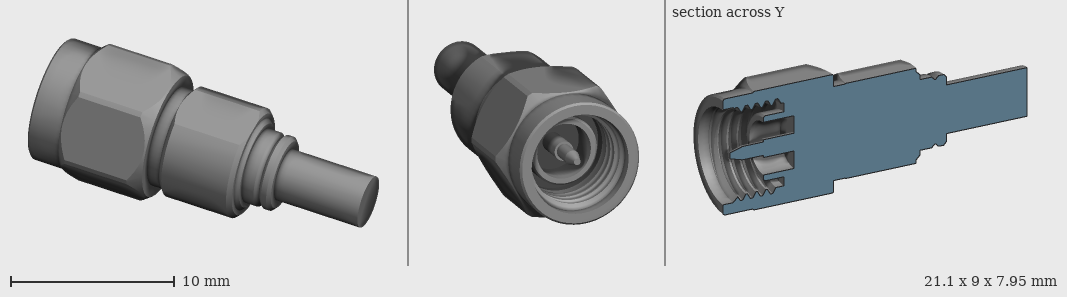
import cadquery as cq
import math

nut_sleeve_end = 2.07
hex_front_corner = 2.76
hex_rear_corner = 6.91
nut_end = 7.7
neck_end = 8.47
body_chamfer_end = 8.81
body_rear_chamfer_start = 13.13
body_rear_chamfer_end = 13.4
collar_start = 13.65
groove_start = 14.46
groove_bottom = 14.71
groove_end = 14.95
rim_chamfer_start = 15.3
collar_end = 15.51
total_length = 21.08

nut_sleeve_radius = 3.9
nut_sleeve_chamfer = 0.13
hex_across_flats = 7.95
hex_corner_radius = 4.5
neck_radius = 3.16
body_radius = 3.55
body_across_flats = 6.39
body_rear_radius = 3.27
shoulder_radius = 2.95
shoulder_end_radius = 2.7
collar_radius = 2.38
groove_radius = 2.15
cable_tube_radius = 1.65

thread_pitch = 0.7
thread_minor_radius = 2.76
thread_depth = 0.35
thread_crest = 0.13
thread_flank_angle = 30
thread_turns = 4.5
thread_start = 0.61
thread_groove_overlap = 0.05
bore_entry_radius = 3.16
bore_entry_depth = 0.72
bore_depth = 4.22

contact_face = 2.8
contact_radius = 2.2
contact_chamfer = 0.13
recess_radius = 1.75
recess_depth = 2.1
pin_tip = 0.48
pin_tip_radius = 0.21
pin_cone_end = 1.37
pin_radius = 0.46
pin_collar_radius = 0.61


def revolve_about_axis(stations):
    """Solid of revolution about X through the given (x, radius) points."""
    first_x = stations[0][0]
    last_x = stations[-1][0]
    outline = [(first_x, 0)] + stations + [(last_x, 0)]
    return cq.Workplane("XY").polyline(outline).close().revolve(360, (0, 0, 0), (1, 0, 0))


def make_nut():
    """Hexagonal coupling nut with bevelled corners and a round front sleeve."""
    sleeve = revolve_about_axis([
        (0, nut_sleeve_radius - nut_sleeve_chamfer),
        (nut_sleeve_chamfer, nut_sleeve_radius),
        (nut_sleeve_end, nut_sleeve_radius),
    ])
    hex_prism = (
        cq.Workplane("YZ", origin=(nut_sleeve_end, 0, 0))
        .polygon(6, hex_across_flats / math.cos(math.radians(30)))
        .extrude(nut_end - nut_sleeve_end)
    )
    corner_envelope = revolve_about_axis([
        (nut_sleeve_end, nut_sleeve_radius),
        (hex_front_corner, hex_corner_radius),
        (hex_rear_corner, hex_corner_radius),
        (nut_end, nut_sleeve_radius),
    ])
    return sleeve.union(hex_prism.intersect(corner_envelope))


def make_thread_groove():
    """Right-hand helical groove of V section with a narrow flat root, cut into the nut bore."""
    flank_slope = math.tan(math.radians(thread_flank_angle))
    mouth_half = (thread_pitch - thread_crest) / 2
    root_radius = thread_minor_radius + thread_depth
    root_half = mouth_half - flank_slope * thread_depth
    inner_radius = thread_minor_radius - thread_groove_overlap
    inner_half = mouth_half + flank_slope * thread_groove_overlap
    path = cq.Wire.makeHelix(thread_pitch, thread_turns * thread_pitch, thread_minor_radius)
    groove = (
        cq.Workplane("XZ")
        .polyline([
            (inner_radius, -inner_half),
            (root_radius, -root_half),
            (root_radius, root_half),
            (inner_radius, inner_half),
        ])
        .close()
        .sweep(cq.Workplane(path), isFrenet=True)
    )
    return groove.rotate((0, 0, 0), (0, 1, 0), 90).translate((thread_start, 0, 0))


def make_bore():
    """Nut bore with a plain round entry and a 45 degree lead-in to the thread."""
    lead_in_length = bore_entry_radius - thread_minor_radius
    return revolve_about_axis([
        (0, bore_entry_radius),
        (bore_entry_depth, bore_entry_radius),
        (bore_entry_depth + lead_in_length, thread_minor_radius),
        (bore_depth, thread_minor_radius),
    ])


def make_body():
    """Neck, body with two wrench flats, grooved collar and cable tube."""
    wrench_section = revolve_about_axis([
        (neck_end, neck_radius),
        (body_chamfer_end, body_radius),
        (body_rear_chamfer_start, body_radius),
        (body_rear_chamfer_end, body_rear_radius),
    ])
    flats = cq.Workplane("XY").box(2 * total_length, 3 * body_radius, body_across_flats)
    round_sections = revolve_about_axis([
        (bore_depth, neck_radius),
        (neck_end, neck_radius),
        (neck_end, shoulder_radius),
        (body_rear_chamfer_end, shoulder_radius),
        (collar_start, shoulder_end_radius),
        (collar_start, collar_radius),
        (groove_start, collar_radius),
        (groove_bottom, groove_radius),
        (groove_end, collar_radius),
        (rim_chamfer_start, collar_radius),
        (collar_end, groove_radius),
        (collar_end, cable_tube_radius),
        (total_length, cable_tube_radius),
    ])
    return round_sections.union(wrench_section.intersect(flats))


def make_contact():
    """Contact sleeve standing in the nut bore, with the pointed pin in its recess."""
    sleeve = revolve_about_axis([
        (contact_face, contact_radius - contact_chamfer),
        (contact_face + contact_chamfer, contact_radius),
        (nut_end, contact_radius),
    ])
    recess = revolve_about_axis([
        (contact_face, recess_radius),
        (contact_face + recess_depth, recess_radius),
    ])
    pin = revolve_about_axis([
        (pin_tip, pin_tip_radius),
        (pin_cone_end, pin_radius),
        (contact_face, pin_radius),
        (contact_face, pin_collar_radius),
        (nut_end, pin_collar_radius),
    ])
    return sleeve, recess, pin


contact_sleeve, contact_recess, contact_pin = make_contact()
shell = make_nut().union(make_body())
shell = shell.cut(make_bore()).cut(make_thread_groove())
result = shell.union(contact_sleeve).cut(contact_recess).union(contact_pin)